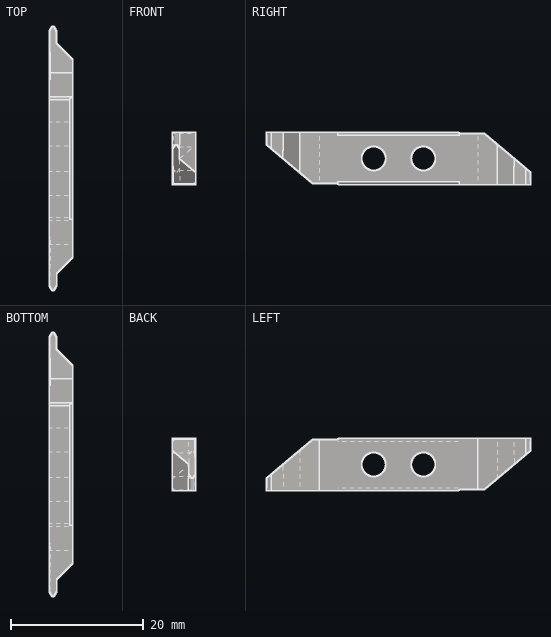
import cadquery as cq
import math

LENGTH = 40.0
HEIGHT = 8.0
THICKNESS = 3.6
HALF_LENGTH = LENGTH / 2
HALF_HEIGHT = HEIGHT / 2
HALF_THICKNESS = THICKNESS / 2

TIP_HEIGHT = 1.9
BACK_SLOPE_ANGLE = 40.0
STEP_DEPTH = 0.2
STEP_START_Y = 8.9
STEP_END_Y = 9.35

BLADE_WIDTH = 1.17
SHOULDER_START_Y = 14.95
NOSE_RADIUS = 0.25
POINT_HALF_ANGLE = 30.0
BLADE_TOP_Z = 1.0
LEFT_X = -HALF_THICKNESS
BLADE_X = LEFT_X + BLADE_WIDTH
BLADE_CENTER_X = LEFT_X + BLADE_WIDTH / 2

CLEARANCE_START_Y = 12.0
CLEARANCE_ANGLE = 1.5

CHAMFER_HALF_LENGTH = 9.2
CHAMFER_WIDTH = 0.5
CHAMFER_HEIGHT = 0.5

HOLE_DIAMETER = 3.6
HOLE_SPACING = 7.5


def opposite_end(solid):
    """Turn a shape half a turn about X, onto the other end of the part."""
    return solid.rotate((0, 0, 0), (1, 0, 0), 180)


def side_body():
    """Side outline in Y and Z, extruded through the thickness."""
    step_z = HALF_HEIGHT - STEP_DEPTH
    tip_z = TIP_HEIGHT - HALF_HEIGHT
    slope_top_y = HALF_LENGTH - (step_z - tip_z) / math.tan(math.radians(BACK_SLOPE_ANGLE))
    half_outline = [
        (HALF_LENGTH, -HALF_HEIGHT),
        (HALF_LENGTH, tip_z),
        (slope_top_y, step_z),
        (STEP_END_Y, step_z),
        (STEP_START_Y, HALF_HEIGHT),
    ]
    turned_half = [(-y, -z) for y, z in half_outline]
    outline = half_outline + turned_half
    return cq.Workplane("YZ").polyline(outline).close().extrude(HALF_THICKNESS, both=True)


def core_body():
    """Body without the blades: plan outline with 45 degree shoulders, extruded through the height."""
    blade_root_y = SHOULDER_START_Y + HALF_THICKNESS - BLADE_X
    shoulder_end_y = SHOULDER_START_Y + HALF_THICKNESS - BLADE_CENTER_X
    outline = [
        (LEFT_X, -blade_root_y),
        (LEFT_X, blade_root_y),
        (BLADE_CENTER_X, shoulder_end_y),
        (HALF_THICKNESS, SHOULDER_START_Y),
        (HALF_THICKNESS, -SHOULDER_START_Y),
        (BLADE_CENTER_X, -shoulder_end_y),
    ]
    return cq.Workplane("XY").polyline(outline).close().extrude(HALF_HEIGHT, both=True)


def blade():
    """Pointed blade at the +Y end, tapering upward from its full outline at the lower cutting edge."""
    half_angle = math.radians(POINT_HALF_ANGLE)
    nose_half_width = NOSE_RADIUS * math.cos(half_angle)
    nose_start_y = HALF_LENGTH - NOSE_RADIUS * (1 - math.sin(half_angle))
    flank_start_y = nose_start_y - (BLADE_WIDTH / 2 - nose_half_width) / math.tan(half_angle)
    return (
        cq.Workplane("XY", origin=(0, 0, -HALF_HEIGHT))
        .moveTo(LEFT_X, CLEARANCE_START_Y)
        .lineTo(BLADE_X, CLEARANCE_START_Y)
        .lineTo(BLADE_X, flank_start_y)
        .lineTo(BLADE_CENTER_X + nose_half_width, nose_start_y)
        .threePointArc(
            (BLADE_CENTER_X, HALF_LENGTH),
            (BLADE_CENTER_X - nose_half_width, nose_start_y),
        )
        .lineTo(LEFT_X, flank_start_y)
        .close()
        .extrude(BLADE_TOP_Z + HALF_HEIGHT, taper=CLEARANCE_ANGLE)
    )


def clearance_wedge():
    """Thin wedge removed from the -X face at the +Y end; it widens upward from the lower cutting edge."""
    wedge_depth = HEIGHT * math.tan(math.radians(CLEARANCE_ANGLE))
    return (
        cq.Workplane("XZ", origin=(0, CLEARANCE_START_Y, 0))
        .polyline([(LEFT_X, -HALF_HEIGHT), (LEFT_X + wedge_depth, HALF_HEIGHT), (LEFT_X, HALF_HEIGHT)])
        .close()
        .extrude(CLEARANCE_START_Y - HALF_LENGTH)
    )


def edge_chamfer():
    """Prism removed along the upper +X edge."""
    return (
        cq.Workplane("XZ")
        .polyline([
            (HALF_THICKNESS, HALF_HEIGHT),
            (HALF_THICKNESS - CHAMFER_WIDTH, HALF_HEIGHT),
            (HALF_THICKNESS, HALF_HEIGHT - CHAMFER_HEIGHT),
        ])
        .close()
        .extrude(CHAMFER_HALF_LENGTH, both=True)
    )


def mounting_holes():
    """Two round holes along X, spaced evenly about the middle."""
    return (
        cq.Workplane("YZ")
        .pushPoints([(-HOLE_SPACING / 2, 0), (HOLE_SPACING / 2, 0)])
        .circle(HOLE_DIAMETER / 2)
        .extrude(THICKNESS, both=True)
    )


plan_body = core_body().union(blade()).union(opposite_end(blade()))
result = side_body().intersect(plan_body)
for cutter in (clearance_wedge(), edge_chamfer()):
    result = result.cut(cutter).cut(opposite_end(cutter))
result = result.cut(mounting_holes())